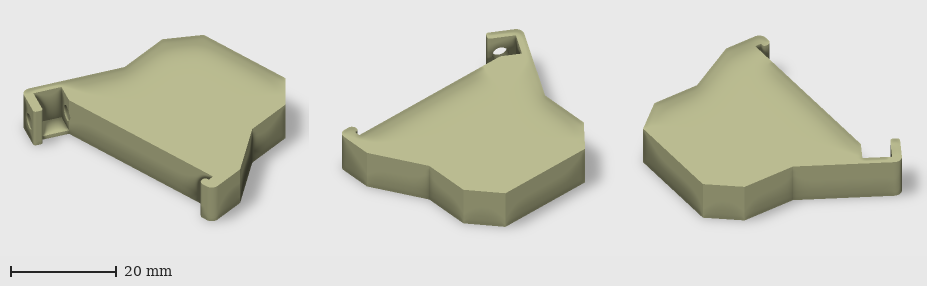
import cadquery as cq
import math

length = 46.45
width = 38.4
thickness = 8.13

housing_left = 9.8
housing_right = 40.3
top_left = 14.9
top_right = 35.1
chamfer_drop = 6.1
right_shoulder_y = 15.75
right_wall_top = 4.95

foot_angle = 60.0
wall = 1.65
arm = 1.85
pocket_across = 4.23
pocket_along = 5.6
arm_overhang = 1.2
pocket_floor = 0.85
corner_radius = 1.6
tip_radius = 0.5

hole_diameter = 3.15
hole_across = 2.93
hole_depth = 6.95

hook_inner_x = 43.9
hook_lip_x = 42.95
hook_lip_y = -1.25
hook_bottom = -3.05
hook_outer_radius = 1.5
hook_lip_radius = 0.98
hook_top_radius = 0.55

cos_foot = math.cos(math.radians(foot_angle))
sin_foot = math.sin(math.radians(foot_angle))

corner_centre_x = corner_radius
corner_centre_y = (
    (wall + pocket_across - corner_radius) * cos_foot
    - (arm + pocket_along - corner_radius) * sin_foot
)


def foot_point(across, along):
    """Place a point given from the pocket's inner corner beside the arm."""
    across += wall - corner_radius
    along += arm - corner_radius
    x = corner_centre_x + across * sin_foot + along * cos_foot
    y = corner_centre_y - across * cos_foot + along * sin_foot
    return x, y


arm_end = pocket_across + arm_overhang
foot_corner = foot_point(-wall, -arm)
tip_outer = foot_point(arm_end, -arm)
tip_inner = foot_point(arm_end, 0)
seat_start = foot_point(pocket_across, pocket_along)

tip_centre_y = foot_point(arm_end - tip_radius, tip_radius - arm)[1]
housing_top = tip_centre_y - tip_radius + width
chamfer_y = housing_top - chamfer_drop
left_shoulder_y = foot_corner[1] + (housing_left - foot_corner[0]) * math.tan(math.radians(foot_angle))

hook_outer = (length, hook_bottom)
hook_lip_bottom = (hook_lip_x, hook_bottom)
hook_lip_top = (hook_lip_x, hook_lip_y)

outline = [
    foot_corner,
    tip_outer,
    tip_inner,
    foot_point(pocket_across, 0),
    seat_start,
    (hook_inner_x, 0),
    (hook_inner_x, hook_lip_y),
    hook_lip_top,
    hook_lip_bottom,
    hook_outer,
    (length, right_wall_top),
    (housing_right, right_shoulder_y),
    (housing_right, chamfer_y),
    (top_right, housing_top),
    (top_left, housing_top),
    (housing_left, chamfer_y),
    (housing_left, left_shoulder_y),
]


def round_edge(body, point, radius):
    """Round the vertical edge that passes through an outline point."""
    nearest = cq.selectors.NearestToPointSelector((*point, thickness / 2))
    return body.edges("|Z").edges(nearest).fillet(radius)


body = cq.Workplane("XY").polyline(outline).close().extrude(thickness)
for point, radius in (
    (foot_corner, corner_radius),
    (tip_outer, tip_radius),
    (tip_inner, tip_radius),
    (hook_outer, hook_outer_radius),
    (hook_lip_bottom, hook_lip_radius),
    (hook_lip_top, hook_top_radius),
):
    body = round_edge(body, point, radius)

pocket_outline = [
    foot_point(0, 0),
    foot_point(pocket_across, 0),
    seat_start,
    foot_point(0, pocket_along),
]
pocket = (
    cq.Workplane("XY", origin=(0, 0, pocket_floor))
    .polyline(pocket_outline).close().extrude(thickness - pocket_floor)
)

hole_start = cq.Vector(*foot_point(hole_across, -arm), thickness / 2)
hole_direction = cq.Vector(cos_foot, sin_foot, 0)
hole_length = arm + pocket_along + hole_depth
hole = cq.Solid.makeCylinder(hole_diameter / 2, hole_length, hole_start, hole_direction)

result = body.cut(pocket).cut(cq.Workplane(obj=hole))